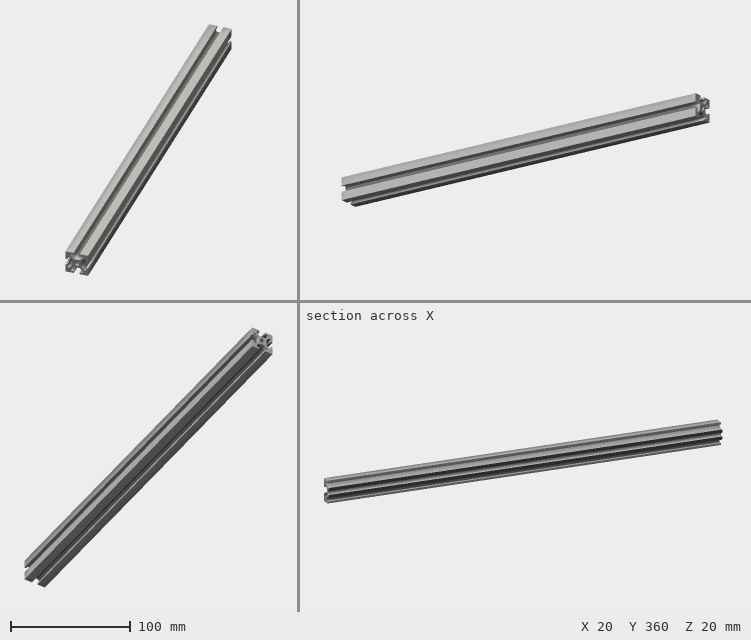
import cadquery as cq
import math

length = 360.0
width = 20.0
slot_opening = 5.5
lip_thickness = 1.8
pocket_width = 10.8
core_width = 8.0
web_thickness = 1.8
bore_diameter = 4.5

half_width = width / 2
half_opening = slot_opening / 2
half_pocket = pocket_width / 2
half_core = core_width / 2
lip_underside = half_width - lip_thickness

web_offset = web_thickness / math.sqrt(2)


def centred_box(size):
    """Square bar along Y, centred on the origin."""
    return cq.Workplane("XZ").rect(size, size).extrude(length / 2, both=True)


def slot_cutter():
    """Prism that clears the T-slot on the +Z side."""
    right_side = [
        (half_core - web_offset, half_core),
        (half_pocket, half_pocket + web_offset),
        (half_pocket, lip_underside),
        (half_opening, lip_underside),
        (half_opening, half_width),
    ]
    left_side = [(-x, z) for x, z in reversed(right_side)]
    return cq.Workplane("XZ").polyline(right_side + left_side).close().extrude(length / 2, both=True)


def bore_cutter():
    """Round centre hole through the whole length."""
    return cq.Workplane("XZ").circle(bore_diameter / 2).extrude(length / 2, both=True)


profile = centred_box(width)
slot = slot_cutter()
for angle in (0, 90, 180, 270):
    profile = profile.cut(slot.rotate((0, 0, 0), (0, 1, 0), angle))

result = profile.cut(bore_cutter())